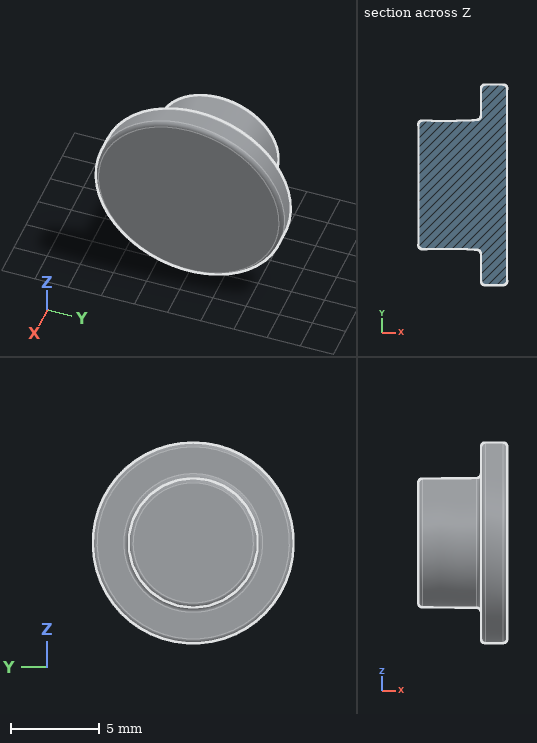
import cadquery as cq
import math

total_length = 5.05
flange_diameter = 11.38
flange_thickness = 1.5

stem_tip_diameter = 7.3
stem_draft_angle = 0.5

edge_radius = 0.25

tip_x = -total_length / 2
flange_back_x = total_length / 2
flange_face_x = flange_back_x - flange_thickness

flange_radius = flange_diameter / 2
stem_tip_radius = stem_tip_diameter / 2
stem_length = flange_face_x - tip_x
stem_base_radius = stem_tip_radius + stem_length * math.tan(math.radians(stem_draft_angle))


def turned_body():
    """Flanged plug with sharp edges, revolved about the X axis."""
    half_profile = (
        cq.Workplane("XZ")
        .moveTo(tip_x, 0)
        .lineTo(tip_x, stem_tip_radius)
        .lineTo(flange_face_x, stem_base_radius)
        .lineTo(flange_face_x, flange_radius)
        .lineTo(flange_back_x, flange_radius)
        .lineTo(flange_back_x, 0)
        .close()
    )
    return half_profile.revolve(360, (0, 0, 0), (1, 0, 0))


def round_edges(body):
    """Round the tip, the stem-to-flange corner and both flange rims."""
    return body.edges("%CIRCLE").fillet(edge_radius)


result = round_edges(turned_body())